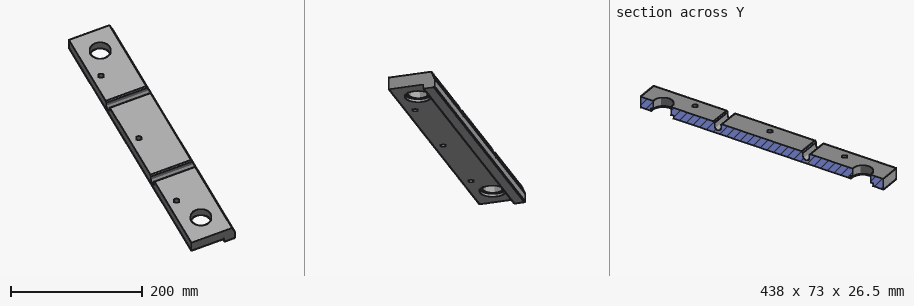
import cadquery as cq

length = 438.0
width = 73.0
height = 26.5
plate_thickness = 19.5
lip_width = 18.5
lip_edge_chamfer = 1.5
bevel_width = 5.3
bevel_height = 12.5

groove_spacing = 159.5
groove_width = 11.0
groove_depth = 13.0
groove_chamfer = 2.0

large_hole_diameter = 32.0
recess_diameter = 40.5
recess_depth = 5.0
large_hole_spacing = 360.0
large_hole_y = 34.0
small_hole_diameter = 8.5
small_hole_pitch = 135.0
small_hole_y = 14.5


def bar():
    """Plate with a lip under its back edge and a bevel above, centred along X."""
    step_height = height - plate_thickness
    lip_front = width - lip_width
    return (
        cq.Workplane("YZ", origin=(-length / 2, 0, 0))
        .moveTo(0, step_height)
        .lineTo(lip_front, step_height)
        .lineTo(lip_front, lip_edge_chamfer)
        .lineTo(lip_front + lip_edge_chamfer, 0)
        .lineTo(width - lip_edge_chamfer, 0)
        .lineTo(width, lip_edge_chamfer)
        .lineTo(width, height - bevel_height)
        .lineTo(width - bevel_width, height)
        .lineTo(0, height)
        .close()
        .extrude(length)
    )


def groove(x):
    """Round-bottomed groove with a chamfered mouth, running the full width."""
    radius = groove_width / 2
    mouth = radius + groove_chamfer
    return (
        cq.Workplane("XZ", origin=(x, 0, height))
        .moveTo(-mouth, 0)
        .lineTo(-radius, -groove_chamfer)
        .lineTo(-radius, radius - groove_depth)
        .threePointArc((0, -groove_depth), (radius, radius - groove_depth))
        .lineTo(radius, -groove_chamfer)
        .lineTo(mouth, 0)
        .close()
        .extrude(-width)
    )


def hole(x, y, diameter, top=height):
    """Cylinder from the base of the bar up to the given level."""
    return cq.Workplane("XY").center(x, y).circle(diameter / 2).extrude(top)


def stepped_hole(x, y):
    """Through hole, widened by a shallow round recess in the plate underside."""
    recess_top = height - plate_thickness + recess_depth
    recess = hole(x, y, recess_diameter, recess_top)
    return hole(x, y, large_hole_diameter).union(recess)


result = bar()

for side in (-1, 1):
    result = result.cut(groove(side * groove_spacing / 2))
    result = result.cut(stepped_hole(side * large_hole_spacing / 2, large_hole_y))

for position in (-1, 0, 1):
    result = result.cut(hole(position * small_hole_pitch, small_hole_y, small_hole_diameter))